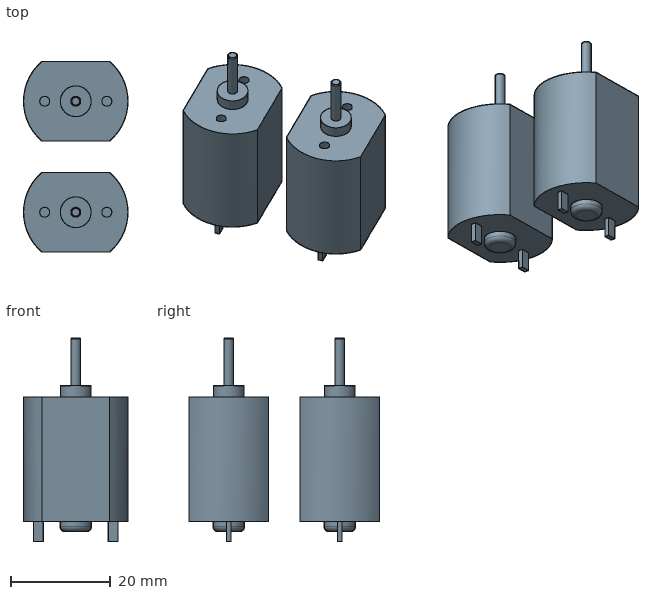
import cadquery as cq

CAN_DIAMETER = 21.0
CAN_FLAT_WIDTH = 16.0
CAN_HEIGHT = 25.0

COLLAR_DIAMETER = 6.15
COLLAR_HEIGHT = 2.3
SHAFT_DIAMETER = 2.0
SHAFT_LENGTH = 9.55
SHAFT_CHAMFER = 0.2

HOLE_DIAMETER = 2.0
HOLE_SPACING = 12.45
HOLE_DEPTH = 2.0

BOSS_DIAMETER = 6.3
BOSS_HEIGHT = 2.0
BOSS_FILLET = 1.0

TERMINAL_WIDTH = 2.0
TERMINAL_THICKNESS = 1.0
TERMINAL_LENGTH = 4.0
TERMINAL_SPACING = 15.0

MOTOR_COUNT = 2
MOTOR_PITCH = 22.25


def make_can():
    """Can standing on Z = 0, with flats facing -Y and +Y."""
    cylinder = cq.Workplane("XY").circle(CAN_DIAMETER / 2).extrude(CAN_HEIGHT)
    between_flats = cq.Workplane("XY").rect(CAN_DIAMETER, CAN_FLAT_WIDTH).extrude(CAN_HEIGHT)
    return cylinder.intersect(between_flats)


def make_collar_and_shaft():
    """Front collar carrying the shaft with its chamfered tip."""
    collar = cq.Workplane("XY", origin=(0, 0, CAN_HEIGHT)).circle(COLLAR_DIAMETER / 2).extrude(COLLAR_HEIGHT)
    shaft = (
        cq.Workplane("XY", origin=(0, 0, CAN_HEIGHT + COLLAR_HEIGHT))
        .circle(SHAFT_DIAMETER / 2)
        .extrude(SHAFT_LENGTH)
        .faces(">Z")
        .chamfer(SHAFT_CHAMFER)
    )
    return collar.union(shaft)


def make_boss():
    """Rear bearing boss with a rounded lower rim."""
    return (
        cq.Workplane("XY")
        .circle(BOSS_DIAMETER / 2)
        .extrude(-BOSS_HEIGHT)
        .faces("<Z")
        .edges()
        .fillet(BOSS_FILLET)
    )


def make_terminals():
    """Pair of flat terminals hanging from the rear face."""
    return (
        cq.Workplane("XY")
        .rarray(TERMINAL_SPACING, 0.4, 2, 1)
        .rect(TERMINAL_WIDTH, TERMINAL_THICKNESS)
        .extrude(-TERMINAL_LENGTH)
    )


def make_mounting_holes():
    """Cutters for the pair of blind holes in the front face."""
    return (
        cq.Workplane("XY", origin=(0, 0, CAN_HEIGHT))
        .rarray(HOLE_SPACING, 0.4, 2, 1)
        .circle(HOLE_DIAMETER / 2)
        .extrude(-HOLE_DEPTH)
    )


def make_motor(y_position):
    """One complete motor, its shaft axis at the given Y."""
    motor = make_can().union(make_collar_and_shaft()).union(make_boss()).union(make_terminals())
    return motor.cut(make_mounting_holes()).translate((0, y_position, 0))


motors = []
for index in range(MOTOR_COUNT):
    y_position = (index - (MOTOR_COUNT - 1) / 2) * MOTOR_PITCH
    motors.append(make_motor(y_position).solids().val())

result = cq.Compound.makeCompound(motors)